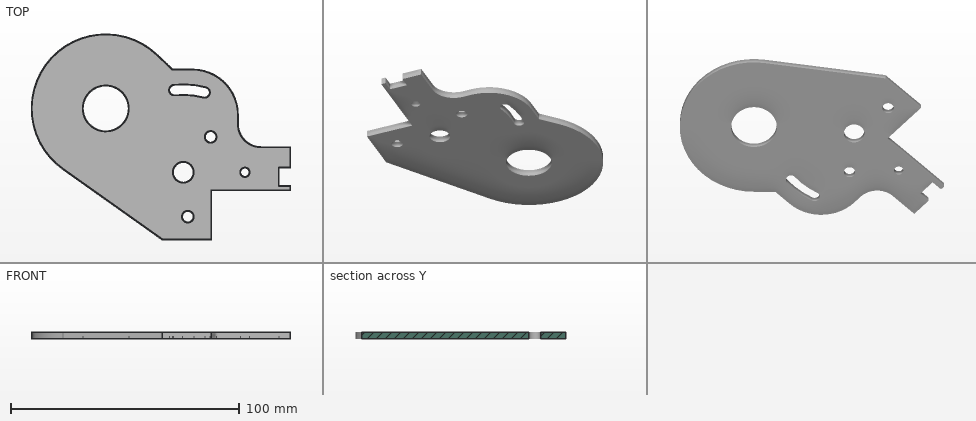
import cadquery as cq
import math

plate_thickness = 3.0

lobe_radius = 32.5
lobe_bore_diameter = 20.0

plate_length = 113.39
plate_width = 89.93
right_x = plate_length - lobe_radius
bottom_y = lobe_radius - plate_width

foot_width = 21.5
foot_right_x = 46.3
foot_left_x = foot_right_x - foot_width

shoulder_left_x = 29.2
shoulder_top_y = 17.1
shoulder_right_x = 57.95
shoulder_radius = 20.0

arm_width = 19.0
arm_bottom_y = -35.9
arm_top_y = arm_bottom_y + arm_width
arm_fillet_radius = 10.0
notch_depth = 5.1
notch_width = 8.0
notch_lip_width = 2.0
notch_bottom_y = arm_bottom_y + notch_lip_width

pivot_x = 33.95
pivot_y = -27.95
pivot_diameter = 9.0
slot_arc_radius = 36.2
slot_width = 4.5
slot_start_angle = 75.0
slot_end_angle = 96.2

screw_diameter = 5.0
upper_screw = (45.95, -12.45)
lower_screw = (35.95, -47.4)
arm_hole_diameter = 4.0
arm_hole = (60.95, pivot_y)


def polar(radius, angle_degrees, center=(0.0, 0.0)):
    """Point at a radius and angle about a center."""
    angle = math.radians(angle_degrees)
    return (center[0] + radius * math.cos(angle), center[1] + radius * math.sin(angle))


def lobe_tangent_point(x, y, side):
    """Point where a line from (x, y) touches the lobe; side +1 is counterclockwise, -1 clockwise."""
    spread = math.acos(lobe_radius / math.hypot(x, y))
    return polar(lobe_radius, math.degrees(math.atan2(y, x) + side * spread))


def make_plate():
    upper_tangent = lobe_tangent_point(shoulder_left_x, shoulder_top_y, 1)
    lower_tangent = lobe_tangent_point(foot_left_x, bottom_y, -1)
    shoulder_center = (shoulder_right_x - shoulder_radius, shoulder_top_y - shoulder_radius)
    fillet_center = (shoulder_right_x + arm_fillet_radius, arm_top_y + arm_fillet_radius)
    return (
        cq.Workplane("XY")
        .moveTo(*upper_tangent)
        .lineTo(shoulder_left_x, shoulder_top_y)
        .lineTo(shoulder_center[0], shoulder_top_y)
        .threePointArc(polar(shoulder_radius, 45, shoulder_center), (shoulder_right_x, shoulder_center[1]))
        .lineTo(shoulder_right_x, fillet_center[1])
        .threePointArc(polar(arm_fillet_radius, 225, fillet_center), (fillet_center[0], arm_top_y))
        .lineTo(right_x, arm_top_y)
        .lineTo(right_x, arm_bottom_y)
        .lineTo(foot_right_x, arm_bottom_y)
        .lineTo(foot_right_x, bottom_y)
        .lineTo(foot_left_x, bottom_y)
        .lineTo(*lower_tangent)
        .threePointArc((-lobe_radius, 0), upper_tangent)
        .close()
        .extrude(plate_thickness)
    )


def make_notch():
    return (
        cq.Workplane("XY")
        .moveTo(right_x - notch_depth, notch_bottom_y)
        .rect(notch_depth, notch_width, centered=False)
        .extrude(plate_thickness)
    )


def make_hole(center, diameter):
    return cq.Workplane("XY").center(*center).circle(diameter / 2).extrude(plate_thickness)


def make_curved_slot():
    pivot = (pivot_x, pivot_y)
    inner_radius = slot_arc_radius - slot_width / 2
    outer_radius = slot_arc_radius + slot_width / 2
    middle_angle = (slot_start_angle + slot_end_angle) / 2
    end_angle = math.degrees(slot_width / 2 / slot_arc_radius)
    return (
        cq.Workplane("XY")
        .moveTo(*polar(outer_radius, slot_start_angle, pivot))
        .threePointArc(polar(outer_radius, middle_angle, pivot), polar(outer_radius, slot_end_angle, pivot))
        .threePointArc(
            polar(slot_arc_radius, slot_end_angle + end_angle, pivot),
            polar(inner_radius, slot_end_angle, pivot),
        )
        .threePointArc(polar(inner_radius, middle_angle, pivot), polar(inner_radius, slot_start_angle, pivot))
        .threePointArc(
            polar(slot_arc_radius, slot_start_angle - end_angle, pivot),
            polar(outer_radius, slot_start_angle, pivot),
        )
        .close()
        .extrude(plate_thickness)
    )


holes = [
    ((0.0, 0.0), lobe_bore_diameter),
    ((pivot_x, pivot_y), pivot_diameter),
    (upper_screw, screw_diameter),
    (lower_screw, screw_diameter),
    (arm_hole, arm_hole_diameter),
]

result = make_plate().cut(make_notch()).cut(make_curved_slot())
for hole_center, hole_diameter in holes:
    result = result.cut(make_hole(hole_center, hole_diameter))